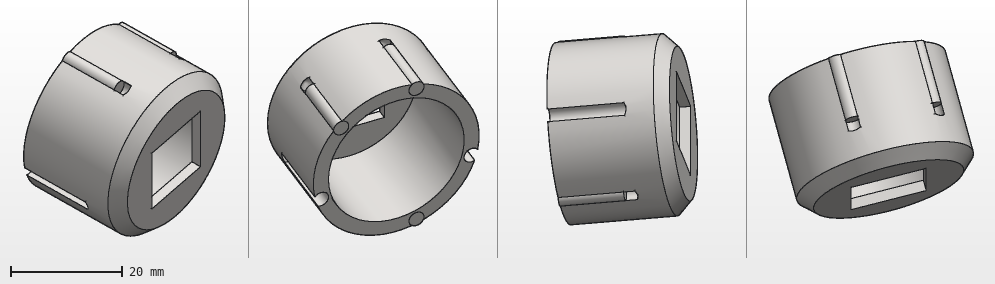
import cadquery as cq
import math

outer_diameter = 33.0
length = 22.0
rim_chamfer = 2.5
bore_diameter = 27.0
floor_thickness = 2.0
square_opening = 14.0

pin_diameter = 3.0
pin_circle_radius = 15.5
hole_depth = 14.1
drill_point_angle = 118.0
pin_length = 12.0

pin_angles = [45, 105, 255]
empty_hole_angles = [195, 345]

pin_radius = pin_diameter / 2
bore_depth = length - floor_thickness
drill_point_depth = pin_radius / math.tan(math.radians(drill_point_angle / 2))


def place_on_pin_circle(body, angle):
    """Move a body from the X axis out to its place on the pin circle."""
    y = pin_circle_radius * math.cos(math.radians(angle))
    z = pin_circle_radius * math.sin(math.radians(angle))
    return body.translate((0, y, z))


def make_drilled_hole(angle):
    """Blind hole with a conical drill point, as a cutting shape."""
    profile = (
        cq.Workplane("XY")
        .moveTo(0, 0)
        .lineTo(0, pin_radius)
        .lineTo(hole_depth, pin_radius)
        .lineTo(hole_depth + drill_point_depth, 0)
        .close()
    )
    hole = profile.revolve(360, (0, 0, 0), (1, 0, 0))
    return place_on_pin_circle(hole, angle)


def make_housing():
    """Chamfered cup with a square opening in its floor and a ring of drilled holes."""
    body = cq.Workplane("YZ").circle(outer_diameter / 2).extrude(length)
    body = body.faces(">X").chamfer(rim_chamfer)
    bore = cq.Workplane("YZ").circle(bore_diameter / 2).extrude(bore_depth)
    opening = cq.Workplane("YZ").rect(square_opening, square_opening).extrude(length)
    body = body.cut(bore).cut(opening)
    for angle in pin_angles + empty_hole_angles:
        body = body.cut(make_drilled_hole(angle))
    return body


def make_pin(angle):
    """Plain pin, flush with the open face and shorter than its hole."""
    pin = cq.Workplane("YZ").circle(pin_radius).extrude(pin_length)
    return place_on_pin_circle(pin, angle)


housing = make_housing()
pins = [make_pin(angle) for angle in pin_angles]

result = cq.Compound.makeCompound([housing.val(), *[pin.val() for pin in pins]])